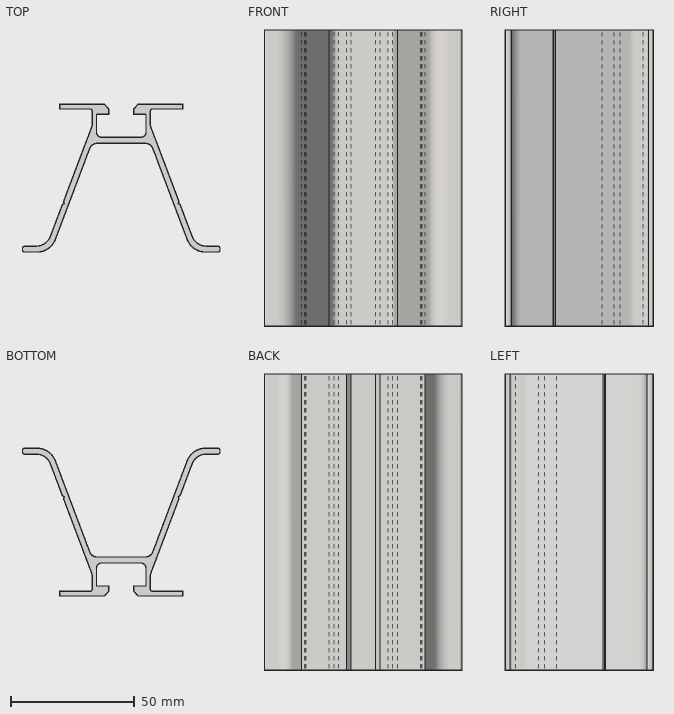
import cadquery as cq
import math

length = 120.0
depth = 60.0
half_width = 40.02

flange_half_width = 25.0
flange_thickness = 2.0
slot_half_width = 5.0
lip_depth = 4.2
lip_chamfer_x = 1.8
lip_chamfer_y = 2.0

channel_half_width = 10.0
wall_thickness = 1.8
channel_depth = 13.5
floor_thickness = 2.5

leg_angle = math.radians(20.7)
leg_thickness = 2.4
leg_start_depth = 8.6
foot_thickness = 2.5

flange_radius = 1.0
channel_radius = 2.0
wall_to_leg_radius = 5.0
floor_to_leg_radius = 3.0
bend_upper_radius = 6.0
bend_lower_radius = 8.0
foot_tip_radius = 1.0

outer_groove_distance = 40.1
outer_groove_half_width = 0.6
outer_groove_depth = 0.6
inner_groove_distance = 20.9
inner_groove_half_width = 0.7
inner_groove_depth = 0.1

wall_outer_x = channel_half_width + wall_thickness
floor_bottom_y = -(channel_depth + floor_thickness)
foot_top_y = foot_thickness - depth


def leg_outer_x(y):
    """X of the outer leg face at height y."""
    return wall_outer_x + (-y - leg_start_depth) * math.tan(leg_angle)


def leg_inner_x(y):
    """X of the inner leg face at height y."""
    return leg_outer_x(y) - leg_thickness / math.cos(leg_angle)


flange_corner = (wall_outer_x, -flange_thickness)
wall_leg_corner = (wall_outer_x, -leg_start_depth)
bend_upper_corner = (leg_outer_x(foot_top_y), foot_top_y)
foot_tip_top = (half_width, foot_top_y)
foot_tip_bottom = (half_width, -depth)
bend_lower_corner = (leg_inner_x(-depth), -depth)
floor_leg_corner = (leg_inner_x(floor_bottom_y), floor_bottom_y)
channel_corner = (channel_half_width, -channel_depth)


def make_half():
    """Right half of the extrusion, with its corners rounded."""
    half = (
        cq.Workplane("XY")
        .polyline([
            (slot_half_width + lip_chamfer_x, 0),
            (flange_half_width, 0),
            (flange_half_width, -flange_thickness),
            flange_corner,
            wall_leg_corner,
            bend_upper_corner,
            foot_tip_top,
            foot_tip_bottom,
            bend_lower_corner,
            floor_leg_corner,
            (0, floor_bottom_y),
            (0, -channel_depth),
            channel_corner,
            (channel_half_width, -lip_depth),
            (slot_half_width, -lip_depth),
            (slot_half_width, -lip_chamfer_y),
        ])
        .close()
        .extrude(length)
    )
    rounded_corners = [
        (flange_corner, flange_radius),
        (wall_leg_corner, wall_to_leg_radius),
        (bend_upper_corner, bend_upper_radius),
        (foot_tip_top, foot_tip_radius),
        (foot_tip_bottom, foot_tip_radius),
        (bend_lower_corner, bend_lower_radius),
        (floor_leg_corner, floor_to_leg_radius),
        (channel_corner, channel_radius),
    ]
    for (x, y), radius in rounded_corners:
        corner_edge = cq.NearestToPointSelector((x, y, length / 2))
        half = half.edges("|Z").edges(corner_edge).fillet(radius)
    return half


def make_groove(center, half_width_along, cut_depth):
    """V-shaped cutter square to the leg; a negative depth cuts outward from the inner face."""
    along = (math.sin(leg_angle), -math.cos(leg_angle))
    inward = (-math.cos(leg_angle), -math.sin(leg_angle))

    def leg_point(distance, inset):
        return (
            center[0] + distance * along[0] + inset * inward[0],
            center[1] + distance * along[1] + inset * inward[1],
        )

    return (
        cq.Workplane("XY")
        .polyline([
            leg_point(-half_width_along, 0),
            leg_point(0, cut_depth),
            leg_point(half_width_along, 0),
        ])
        .close()
        .extrude(length)
    )


outer_groove_center = (leg_outer_x(-outer_groove_distance), -outer_groove_distance)
inner_groove_center = (leg_inner_x(-inner_groove_distance), -inner_groove_distance)
outer_groove = make_groove(outer_groove_center, outer_groove_half_width, outer_groove_depth)
inner_groove = make_groove(inner_groove_center, inner_groove_half_width, -inner_groove_depth)

right_half = make_half().cut(outer_groove).cut(inner_groove)
result = right_half.union(right_half.mirror("YZ")).clean()